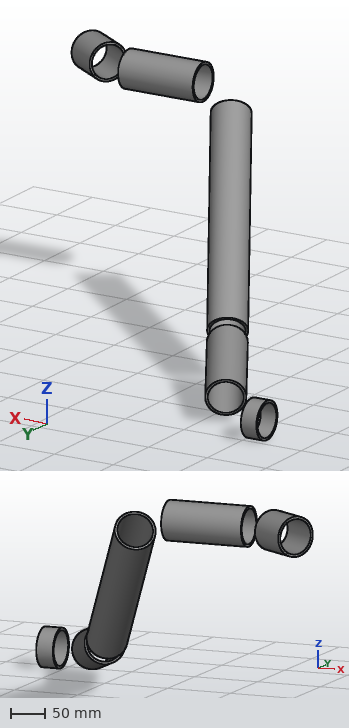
import cadquery as cq
import math


outer_diameter = 60.3
wall = 3.91
bend_radius = 76.0

inlet_length = 26.5
climb_heading = -59.75
climb_run = 603.4
lower_climb_run = 209.0
lower_climb_angle = 13.3
total_rise = 309.0
level_length = 127.0
outlet_heading = -34.1
outlet_length = 63.2


def direction(heading, slope):
    """Unit vector for a heading measured from +X and a slope above horizontal."""
    flat = math.cos(math.radians(slope))
    return cq.Vector(
        flat * math.cos(math.radians(heading)),
        flat * math.sin(math.radians(heading)),
        math.sin(math.radians(slope)),
    )


def elbow_setback(before, after):
    """Distance from a corner of the route to the end of its elbow."""
    return bend_radius * math.tan(before.getAngle(after) / 2)


def pipe(start, axis, length):
    """Open tube running from start along axis."""
    section = cq.Workplane(cq.Plane(origin=start, normal=axis))
    outer_radius = outer_diameter / 2
    return section.circle(outer_radius).circle(outer_radius - wall).extrude(length)


lower_rise = lower_climb_run * math.tan(math.radians(lower_climb_angle))
upper_climb_run = climb_run - lower_climb_run
upper_rise = total_rise - lower_rise
upper_climb_angle = math.degrees(math.atan2(upper_rise, upper_climb_run))

inlet_axis = direction(0, 0)
lower_axis = direction(climb_heading, lower_climb_angle)
upper_axis = direction(climb_heading, upper_climb_angle)
level_axis = direction(0, 0)
outlet_axis = direction(outlet_heading, 0)
axes = [inlet_axis, lower_axis, upper_axis, level_axis, outlet_axis]

setbacks = [elbow_setback(before, after) for before, after in zip(axes, axes[1:])]

lower_leg = math.hypot(lower_climb_run, lower_rise)
upper_leg = math.hypot(upper_climb_run, upper_rise)
straight_lengths = [
    inlet_length,
    lower_leg - setbacks[0] - setbacks[1],
    upper_leg - setbacks[1] - setbacks[2],
    level_length,
    outlet_length,
]

pipes = []
pipe_start = cq.Vector(0, 0, 0)
for leg, axis in enumerate(axes):
    length = straight_lengths[leg]
    pipes.append(pipe(pipe_start, axis, length))
    if leg < len(setbacks):
        corner = pipe_start + axis * (length + setbacks[leg])
        pipe_start = corner + axes[leg + 1] * setbacks[leg]

result = cq.Compound.makeCompound([body.val() for body in pipes])